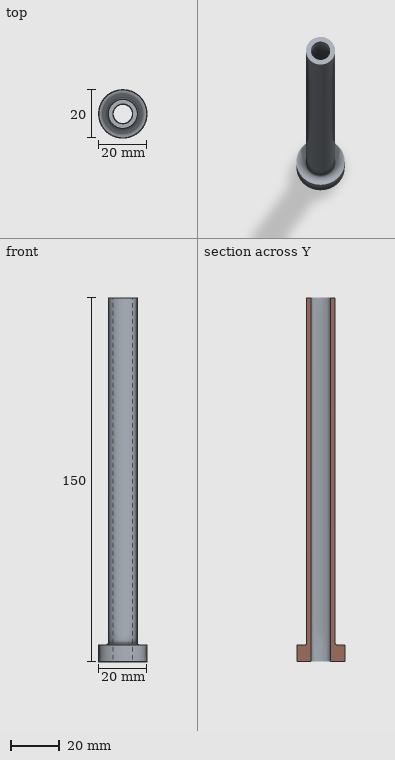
import cadquery as cq

total_length = 150.0
head_diameter = 20.0
head_height = 7.0
shank_diameter = 12.0
bore_diameter = 8.0
neck_fillet = 0.8

head = cq.Workplane("XY").circle(head_diameter / 2).extrude(head_height)
shank = cq.Workplane("XY").circle(shank_diameter / 2).extrude(total_length)
body = head.union(shank)

neck_edge = cq.selectors.BoxSelector(
    (-shank_diameter, -shank_diameter, head_height - neck_fillet),
    (shank_diameter, shank_diameter, head_height + neck_fillet),
)
body = body.edges(neck_edge).edges(cq.selectors.RadiusNthSelector(0)).fillet(neck_fillet)

bore = cq.Workplane("XY").circle(bore_diameter / 2).extrude(total_length)
result = body.cut(bore)